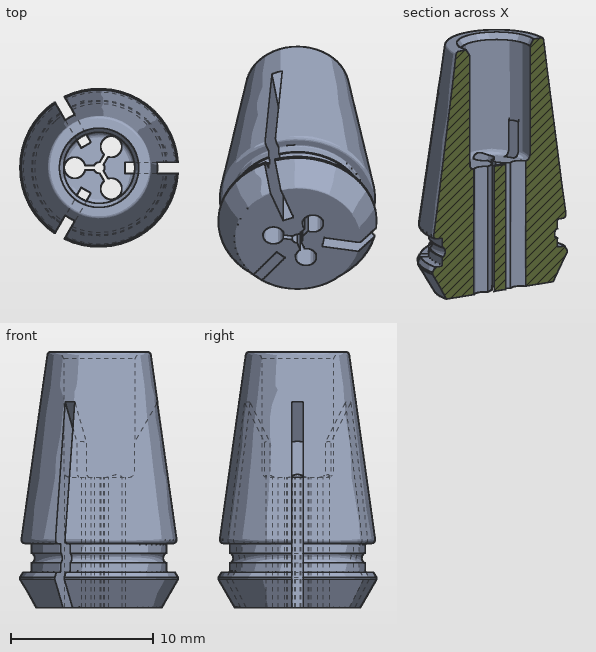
import cadquery as cq
import math

height = 18.0
taper_angle = 8.0
top_radius = 3.62
top_fillet = 0.27
taper_bottom_z = 4.52
taper_bottom_fillet = 0.27

nose_angle = 30.0
flange_radius = 11.15 / 2
flange_low_z = 2.0
flange_rim = 0.15
flange_top_z = 2.5
flange_top_radius = 5.35
nose_fillet = 0.1

neck_radius = 4.77
groove_mid_z = 3.5
groove_height = 0.68
groove_shoulder_radius = 4.7
groove_floor_radius = 4.54
neck_corner_fillet = 0.09

bore_radius = 5.0 / 2
bore_chamfer_width = 0.29
bore_chamfer_depth = 0.47
bore_floor_z = 9.18
bore_corner_radius = 0.4

jaw_count = 3
slot_width = 0.77
slot_inner_radius = 1.84
slot_top_z = 14.49
slot_end_angle = 30.0

relief_radius = 0.74
relief_pitch_radius = 1.71
slit_width = 0.3
centre_hole_radius = 0.38


def taper_radius(z):
    return top_radius + (height - z) * math.tan(math.radians(taper_angle))


def round_edge(body, radius, z, fillet_radius):
    """Fillet the circular edge of the given radius and height."""
    margin = 0.002
    reach = radius + margin
    level = cq.selectors.BoxSelector(
        (-reach, -reach, z - margin), (reach, reach, z + margin), boundingbox=True
    )
    return body.edges("%CIRCLE").edges(level).edges(cq.selectors.RadiusNthSelector(-1)).fillet(fillet_radius)


def make_body():
    nose_radius = flange_radius - flange_low_z * math.tan(math.radians(nose_angle))
    groove_low_z = groove_mid_z - groove_height / 2
    groove_high_z = groove_mid_z + groove_height / 2
    profile = (
        cq.Workplane("XZ")
        .moveTo(0, 0)
        .lineTo(nose_radius, 0)
        .lineTo(flange_radius, flange_low_z)
        .lineTo(flange_radius, flange_low_z + flange_rim)
        .lineTo(flange_top_radius, flange_top_z)
        .lineTo(neck_radius, flange_top_z)
        .lineTo(neck_radius, groove_low_z)
        .lineTo(groove_shoulder_radius, groove_low_z)
        .threePointArc((groove_floor_radius, groove_mid_z), (groove_shoulder_radius, groove_high_z))
        .lineTo(neck_radius, groove_high_z)
        .lineTo(neck_radius, taper_bottom_z)
        .lineTo(taper_radius(taper_bottom_z), taper_bottom_z)
        .lineTo(top_radius, height)
        .lineTo(0, height)
        .close()
    )
    body = profile.revolve(360, (0, 0, 0), (0, 1, 0))
    body = round_edge(body, top_radius, height, top_fillet)
    body = round_edge(body, taper_radius(taper_bottom_z), taper_bottom_z, taper_bottom_fillet)
    body = round_edge(body, nose_radius, 0, nose_fillet)
    for corner_z in (taper_bottom_z, flange_top_z):
        body = round_edge(body, neck_radius, corner_z, neck_corner_fillet)
    return body


def make_bore():
    corner_centre_radius = bore_radius - bore_corner_radius
    corner_centre_z = bore_floor_z + bore_corner_radius
    corner_mid_offset = bore_corner_radius * math.sqrt(0.5)
    return (
        cq.Workplane("XZ")
        .moveTo(0, bore_floor_z)
        .lineTo(corner_centre_radius, bore_floor_z)
        .threePointArc(
            (corner_centre_radius + corner_mid_offset, corner_centre_z - corner_mid_offset),
            (bore_radius, corner_centre_z),
        )
        .lineTo(bore_radius, height - bore_chamfer_depth)
        .lineTo(bore_radius + bore_chamfer_width, height)
        .lineTo(0, height)
        .close()
        .revolve(360, (0, 0, 0), (0, 1, 0))
    )


def make_slot():
    """Slot along +X whose upper end slopes down towards the axis."""
    slope = 1 / math.tan(math.radians(slot_end_angle))
    mouth_radius = taper_radius(slot_top_z)
    outside_radius = flange_radius + 0.18
    inner_top_z = slot_top_z - (mouth_radius - slot_inner_radius) * slope
    return (
        cq.Workplane("XZ")
        .moveTo(slot_inner_radius, 0)
        .lineTo(outside_radius, 0)
        .lineTo(outside_radius, slot_top_z)
        .lineTo(mouth_radius, slot_top_z)
        .lineTo(slot_inner_radius, inner_top_z)
        .close()
        .extrude(slot_width / 2, both=True)
    )


def make_relief():
    """Round relief hole on the -X side and the slit joining it to the axis."""
    hole_top_z = bore_floor_z + bore_corner_radius
    hole = cq.Workplane("XY").center(-relief_pitch_radius, 0).circle(relief_radius).extrude(hole_top_z)
    slit = (
        cq.Workplane("XY")
        .center(-relief_pitch_radius / 2, 0)
        .rect(relief_pitch_radius, slit_width)
        .extrude(bore_floor_z)
    )
    return hole.union(slit)


result = make_body().cut(make_bore())
result = result.cut(cq.Workplane("XY").circle(centre_hole_radius).extrude(bore_floor_z))
for jaw in range(jaw_count):
    angle = jaw * 360 / jaw_count
    for cutter in (make_slot(), make_relief()):
        result = result.cut(cutter.rotate((0, 0, 0), (0, 0, 1), angle))